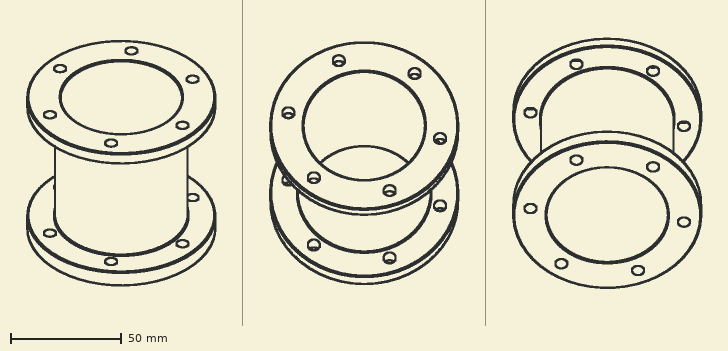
import cadquery as cq

flange_diameter = 85.4
height = 75.3
bore_diameter = 55.0
tube_diameter = 60.2

bottom_thickness = 8.0
top_thickness = 6.0
edge_chamfer = 0.5

hole_count = 6
hole_diameter = 5.5
bolt_circle_diameter = 70.0
first_hole_angle = 90


def make_flange(base_z, thickness):
    """Disc with both outer edges chamfered."""
    disc = cq.Workplane("XY").workplane(offset=base_z).circle(flange_diameter / 2).extrude(thickness)
    return disc.edges().chamfer(edge_chamfer)


def make_bore():
    """Through bore with a chamfer at each mouth."""
    bore_radius = bore_diameter / 2
    mouth_radius = bore_radius + edge_chamfer
    return (
        cq.Workplane("XZ")
        .moveTo(0, 0)
        .lineTo(mouth_radius, 0)
        .lineTo(bore_radius, edge_chamfer)
        .lineTo(bore_radius, height - edge_chamfer)
        .lineTo(mouth_radius, height)
        .lineTo(0, height)
        .close()
        .revolve(360, (0, 0, 0), (0, 1, 0))
    )


def make_bolt_holes():
    """Ring of pins that cut the holes through both flanges."""
    return (
        cq.Workplane("XY")
        .polarArray(bolt_circle_diameter / 2, first_hole_angle, 360, hole_count)
        .circle(hole_diameter / 2)
        .extrude(height)
    )


def make_tube():
    """Solid tube with a small conical flare where it meets each flange."""
    radius = tube_diameter / 2
    flare_radius = radius + edge_chamfer
    lower_face = bottom_thickness
    upper_face = height - top_thickness
    return (
        cq.Workplane("XZ")
        .moveTo(0, 0)
        .lineTo(flare_radius, 0)
        .lineTo(flare_radius, lower_face)
        .lineTo(radius, lower_face + edge_chamfer)
        .lineTo(radius, upper_face - edge_chamfer)
        .lineTo(flare_radius, upper_face)
        .lineTo(flare_radius, height)
        .lineTo(0, height)
        .close()
        .revolve(360, (0, 0, 0), (0, 1, 0))
    )


bottom_flange = make_flange(0, bottom_thickness)
top_flange = make_flange(height - top_thickness, top_thickness)

body = make_tube().union(bottom_flange).union(top_flange)
result = body.cut(make_bore()).cut(make_bolt_holes())